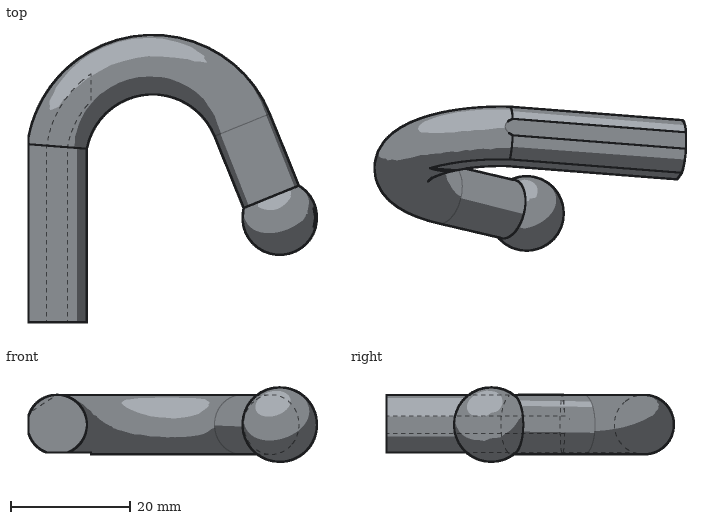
import cadquery as cq
import math

rod_radius = 5.005
bend_radius = 16.2
bend_center = cq.Vector(20.8, 27.0, 0)

leg_x = 4.8
bend_start_angle = math.acos((leg_x - bend_center.x) / bend_radius)
leg_length = bend_center.y + bend_radius * math.sin(bend_start_angle)
mitre_tilt = (math.pi - bend_start_angle) / 2

bottom_flat_depth = 4.7
bottom_flat_end_x = 10.45

ball_radius = 6.26
ball_center = cq.Vector(42.09, 17.55, 0)

to_ball = ball_center - bend_center
bend_end_angle = math.atan2(to_ball.y, to_ball.x) + math.acos(bend_radius / to_ball.Length)
neck_length = math.sqrt(to_ball.Length**2 - bend_radius**2)

block_size = 96.7


def bend_point(angle):
    """Point on the bend centreline at an angle measured from +X."""
    return bend_center + cq.Vector(math.cos(angle), math.sin(angle), 0) * bend_radius


def rod_length(start, direction, length):
    """Straight piece of the rod."""
    return cq.Workplane(obj=cq.Solid.makeCylinder(rod_radius, length, start, direction))


def block(center_x, center_y, center_z):
    """Trimming block with the given centre."""
    return cq.Workplane("XY").box(block_size, block_size, block_size).translate((center_x, center_y, center_z))


def mitre_block():
    """Everything on the leg side of the mitre plane, near the leg."""
    joint = bend_point(bend_start_angle)
    width = 3 * rod_radius
    return (
        cq.Workplane("XY")
        .box(width, block_size, width)
        .translate((0, -block_size / 2, 0))
        .rotate((0, 0, 0), (0, 0, 1), -math.degrees(mitre_tilt))
        .translate(joint)
    )


def make_leg():
    """Leg made overlong, then cut back to the mitre plane."""
    overlong = leg_length + rod_radius
    return rod_length(cq.Vector(leg_x, 0, 0), cq.Vector(0, 1, 0), overlong).intersect(mitre_block())


def make_bend():
    """Arc from the -X side of its centre round to the neck, trimmed at the mitre plane."""
    sweep_angle = 180 - math.degrees(bend_end_angle)
    arc = (
        cq.Workplane("XZ", origin=bend_center.toTuple())
        .center(-bend_radius, 0)
        .circle(rod_radius)
        .revolve(sweep_angle, (bend_radius, 0.5, 0), (bend_radius, 0, 0))
    )
    return arc.cut(mitre_block())


def make_neck():
    tangent = cq.Vector(math.sin(bend_end_angle), -math.cos(bend_end_angle), 0)
    return rod_length(bend_point(bend_end_angle), tangent, neck_length)


def make_ball():
    return cq.Workplane("XY").sphere(ball_radius).translate(ball_center)


half_block = block_size / 2
side_flat_cut = block(-half_block, 0, 0)
bottom_flat_cut = block(bottom_flat_end_x - half_block, 0, -bottom_flat_depth - half_block)

rod = make_leg().union(make_bend()).union(make_neck())
result = rod.cut(side_flat_cut).cut(bottom_flat_cut).union(make_ball())